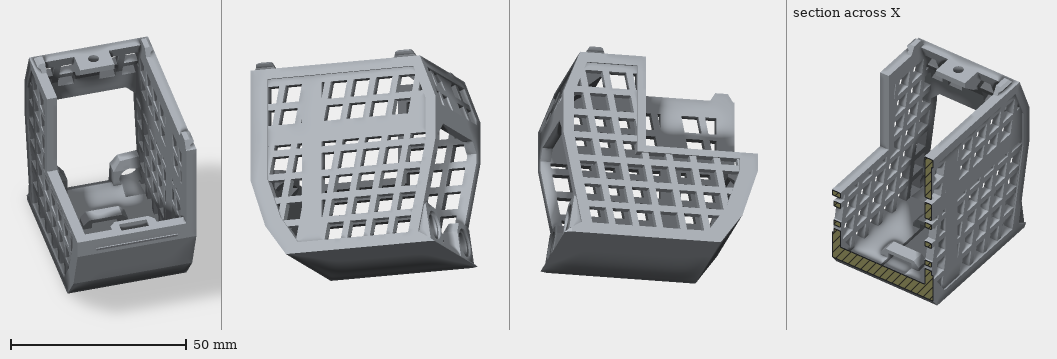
import cadquery as cq
import math

WIDTH = 35.2
HALF_WIDTH = WIDTH / 2
WALL = 3.0
BODY_HEIGHT = 54.8
REAR_X = 56.65
INNER_Y = HALF_WIDTH - WALL
FLOOR_TOP = 3.2
FRONT_LOW_Z = 30.15
FRONT_HIGH_Z = 42.5
FRONT_TOP_X = 4.82
FOOT_X = 5.3
SLOPE = math.atan2(FRONT_TOP_X, BODY_HEIGHT - FRONT_HIGH_Z)
LIP_X = 0.5
LIP_TOP_X = 1.55
LIP_TOP_Z = 0.9
REAR_BEND_Z = 22.4
REAR_LOW_X = 52.2
REAR_LOW_Z = 8.8
FLOOR_END_X = 45.85
INNER_BEND_X = 49.5
INNER_BEND_Z = 10.1
INNER_REAR_X = REAR_X - WALL
INNER_REAR_BEND_Z = 22.8
INNER_FRONT_HIGH_Z = FRONT_HIGH_Z - 0.4
MARGIN = 10.0

REAR_RIM_Z = 27.75
NOTCH_X = 24.0
POST_X = 21.5
RAIL_Z = 25.8

GRILLE_RECESS = 0.5
CELL = 5.0
PITCH_X = 6.94
PITCH_Z = 6.9
GRILLE_LEAN = 0.192
GRILLE_X = 8.4
GRILLE_REAR_X = 51.45
GRILLE_TOP_Z = 51.85
GRILLE_TOP_X = 6.8
GRILLE_FLOOR_END_X = 42.15
GRILLE_BEND = (47.5, 11.0)
COLUMNS = 9
ROWS = 7
FAR_CLOSED_CELLS = ((5, 0),)
COLUMN_X = (35.1, 41.05)
BAND_Z = (32.26, 38.2)

FRONT_OPENING_Y = INNER_Y
FRONT_OPENING_Z = 35.65
FRONT_OPENING_CHAMFER = 3.0
WINDOW_BOTTOM_Z = 41.1
WINDOW_TOP_Z = 52.05
MULLION_HALF = 3.7
MULLION_FLARE = 1.9
PANE_DEPTH = WALL + 0.5
WINDOW_BAR_Y = (8.6, 10.5)
WINDOW_BAR_Z = (45.5, 47.3)

TAB_END_X = 14.2
TAB_HALF = 5.07
TAB_THICKNESS = 1.8
TAB_HOLE_X = 10.2
TAB_HOLE_DIAMETER = 3.1
TAB_ROOT_X = 6.0
TAB_ROOT_Z = 46.3

HOOK_TOP_Z = BODY_HEIGHT + 2.41
HOOK_STEM = 1.45
HOOK_REACH = 2.4
REAR_HOOK_REACH = 2.7
HOOK_TIP_Z = BODY_HEIGHT + 1.75
HOOK_NECK_Z = BODY_HEIGHT + 0.95
HOOK_CROWN = 1.5
HOOK_BASE_DEPTH = 0.5
FRONT_FAR_HOOK = ((6.4, 13.7), (8.15, 12.25))
REAR_FAR_HOOK = ((49.55, 56.2), (51.0, 54.7))
FRONT_NEAR_HOOK = ((6.4, 12.7), (8.0, 11.2))

LAMP_Y = 11.75
LAMP_FACE_X = 1.7
LAMP_FACE_Z = 0.9
LAMP_TOP_X = 3.4
LAMP_TOP_Z = 12.4
LAMP_TILT = math.degrees(math.atan2(LAMP_TOP_X - LAMP_FACE_X, LAMP_TOP_Z - LAMP_FACE_Z))
LAMP_BACK_TOP_X = 6.05
LAMP_BACK_X = 7.1
LAMP_INNER_Y = 6.8
LAMP_OUTER_Y = 17.0
LAMP_CROWN = ((15.7, 11.95), (8.9, 11.35))
LAMP_OUTER_Z = 11.0
LAMP_INNER_Z = 8.4
LAMP_CENTRE_Z = 6.05
LAMP_CENTRE_X = LAMP_FACE_X + (LAMP_CENTRE_Z - LAMP_FACE_Z) * math.tan(math.radians(LAMP_TILT))
LAMP_BORE = 6.4
LAMP_BORE_DEPTH = 10.6
LAMP_RECESS = 8.4
LAMP_RECESS_DEPTH = 0.7

STRAP_HALF = 4.1
STRAP_DEPTH = 1.25
CHANNEL_X = (15.35, 44.6)
CHANNEL_RAMP = 1.8
BRIDGE_X = (19.35, 35.4)
BRIDGE_LENGTH = 4.05
BRIDGE_HALF = 6.6
BRIDGE_TOP_Z = 6.2
BRIDGE_CHAMFER = 1.75
BRIDGE_GAP_Z = 4.95
PAD_X = 50.55
PAD_HALF = 6.6
PAD_CHAMFER = 1.6
PAD_FACE_Z = 24.75
PAD_BOTTOM_Z = 21.7
PAD_ROOT = 1.0
SLOT_X = (51.95, 54.8)
SLOT_RAMP_X = 52.9
SLOT_RAMP_Z = (20.5, 22.8)

RIDGE_HALF = 12.05
RIDGE_Z = (23.6, 24.5)
RIDGE_HEIGHT = 0.3
CORNER_X = 2.4
CORNER_Y = 0.8
CORNER_Z = 1.1


def box(x0, x1, y0, y1, z0, z1):
    return cq.Workplane("XY").box(x1 - x0, y1 - y0, z1 - z0, centered=False).translate((x0, y0, z0))


def side_prism(points, y0, y1):
    """Prism with an XZ outline running from y0 to y1."""
    return cq.Workplane("XZ", origin=(0, y0, 0)).polyline(points).close().extrude(y0 - y1)


def cross_prism(points, x0, x1):
    """Prism with a YZ outline running from x0 to x1."""
    return cq.Workplane("YZ", origin=(x0, 0, 0)).polyline(points).close().extrude(x1 - x0)


def mirrored(shape):
    return shape.mirror("XZ")


def slope_x(z):
    return (z - FRONT_HIGH_Z) * math.tan(SLOPE)


def on_slope(z):
    """Distance up the sloping front face at height z."""
    return (z - FRONT_HIGH_Z) / math.cos(SLOPE)


def lay_on_slope(shape):
    """Tilt a shape so its X axis points square into the sloping front face and its Z axis runs up it."""
    return shape.rotate((0, 0, 0), (0, 1, 0), math.degrees(SLOPE)).translate((0, 0, FRONT_HIGH_Z))


def rear_low_inner_x(z):
    """Inside of the lowest rear slope, one wall thickness in from the outside."""
    run = REAR_LOW_X - FLOOR_END_X
    return FLOOR_END_X + z * run / REAR_LOW_Z - WALL * math.hypot(run, REAR_LOW_Z) / REAR_LOW_Z


def make_shell():
    outer = [
        (LIP_X, 0), (FLOOR_END_X, 0), (REAR_LOW_X, REAR_LOW_Z), (REAR_X, REAR_BEND_Z),
        (REAR_X, BODY_HEIGHT), (FRONT_TOP_X, BODY_HEIGHT), (0, FRONT_HIGH_Z), (0, FRONT_LOW_Z),
        (FOOT_X, FLOOR_TOP), (LIP_TOP_X, LIP_TOP_Z),
    ]
    shell = side_prism(outer, -HALF_WIDTH, HALF_WIDTH)
    top = BODY_HEIGHT + MARGIN
    slope_shift = WALL / math.cos(SLOPE)
    inner = [
        (GRILLE_X, FLOOR_TOP), (rear_low_inner_x(FLOOR_TOP), FLOOR_TOP), (INNER_BEND_X, INNER_BEND_Z),
        (INNER_REAR_X, INNER_REAR_BEND_Z), (INNER_REAR_X, top), (slope_x(top) + slope_shift, top),
        (WALL, INNER_FRONT_HIGH_Z), (WALL, FRONT_LOW_Z),
    ]
    shell = shell.cut(side_prism(inner, -INNER_Y, INNER_Y))
    notch = box(NOTCH_X, REAR_X + MARGIN, -HALF_WIDTH - MARGIN, INNER_Y, REAR_RIM_Z, top)
    return shell.cut(notch)


def front_opening():
    z0 = FLOOR_TOP
    z1 = FRONT_OPENING_Z
    y = FRONT_OPENING_Y
    c = FRONT_OPENING_CHAMFER
    outline = [(-y, z0), (y, z0), (y, z1 - c), (y - c, z1), (c - y, z1), (-y, z1 - c)]
    return cross_prism(outline, -MARGIN, GRILLE_X)


def front_window():
    """Panes square to the sloping front face and the shallow recess that frames them."""
    low = (WINDOW_BOTTOM_Z - FRONT_HIGH_Z) * math.cos(SLOPE)
    bar_low = on_slope(WINDOW_BAR_Z[0])
    bar_high = on_slope(WINDOW_BAR_Z[1])
    high = on_slope(WINDOW_TOP_Z)
    y = FRONT_OPENING_Y
    tools = box(-MARGIN, GRILLE_RECESS, -y, y, low, high)
    for y0, y1 in ((MULLION_HALF, WINDOW_BAR_Y[0]), (WINDOW_BAR_Y[1], y)):
        for z0, z1 in ((low, bar_low), (bar_high, high)):
            pane = box(-MARGIN, PANE_DEPTH, y0, y1, z0, z1)
            if y0 == MULLION_HALF and z1 == high:
                flare = [(y0, z1), (y0 + MULLION_FLARE, z1), (y0, z1 - MULLION_FLARE)]
                pane = pane.cut(cross_prism(flare, -MARGIN, PANE_DEPTH))
            tools = tools.union(pane).union(mirrored(pane))
    return lay_on_slope(tools)


GRILLE_LOWER = [
    (GRILLE_X, FLOOR_TOP), (GRILLE_FLOOR_END_X, FLOOR_TOP), GRILLE_BEND, (GRILLE_REAR_X, REAR_BEND_Z),
]
GRILLE_FRONT = [(GRILLE_TOP_X, GRILLE_TOP_Z), (WALL, INNER_FRONT_HIGH_Z), (WALL, FRONT_LOW_Z)]
NEAR_OUTLINE = GRILLE_LOWER + [
    (GRILLE_REAR_X, RAIL_Z), (POST_X, RAIL_Z), (POST_X, GRILLE_TOP_Z),
] + GRILLE_FRONT
FAR_OUTLINE = GRILLE_LOWER + [(GRILLE_REAR_X, GRILLE_TOP_Z)] + GRILLE_FRONT


def grille_cells(y0, y1, closed=()):
    """Leaning grid of openings, before trimming to the frame; closed lists (row, column) left out."""
    lean = GRILLE_LEAN * CELL
    cell = side_prism([(0, 0), (CELL, 0), (CELL - lean, CELL), (-lean, CELL)], y0, y1).val()
    cells = []
    for row in range(ROWS):
        z = row * PITCH_Z
        for column in range(COLUMNS):
            if (row, column) not in closed:
                x = GRILLE_X + column * PITCH_X - GRILLE_LEAN * z
                cells.append(cell.translate(cq.Vector(x, 0, FLOOR_TOP + z)))
    return cq.Workplane(cq.Compound.makeCompound(cells))


def near_grille():
    y0 = -HALF_WIDTH - MARGIN
    recess = side_prism(NEAR_OUTLINE, y0, -HALF_WIDTH + GRILLE_RECESS)
    frame = side_prism(NEAR_OUTLINE, y0, -INNER_Y)
    return recess, frame.intersect(grille_cells(y0, -INNER_Y))


def far_grille():
    y1 = HALF_WIDTH + MARGIN
    top = BODY_HEIGHT
    recess = side_prism(FAR_OUTLINE, HALF_WIDTH - GRILLE_RECESS, y1)
    frame = side_prism(FAR_OUTLINE, INNER_Y, y1)
    frame = frame.cut(box(COLUMN_X[0], COLUMN_X[1], 0, y1, 0, top))
    frame = frame.cut(box(0, REAR_X, 0, y1, BAND_Z[0], BAND_Z[1]))
    return recess, frame.intersect(grille_cells(INNER_Y, y1, FAR_CLOSED_CELLS))


def top_tab():
    z_end = BODY_HEIGHT - TAB_THICKNESS
    outline = [
        (TAB_ROOT_X, BODY_HEIGHT), (TAB_END_X, BODY_HEIGHT), (TAB_END_X, z_end), (TAB_ROOT_X, TAB_ROOT_Z),
    ]
    tab = side_prism(outline, -TAB_HALF, TAB_HALF)
    high = on_slope(WINDOW_TOP_Z)
    low = high - MULLION_FLARE
    shoulder = low + TAB_HALF - MULLION_HALF
    section = [
        (MULLION_HALF, -MARGIN), (MULLION_HALF, low), (TAB_HALF, shoulder), (TAB_HALF, high + MARGIN),
    ]
    section += [(-y, z) for y, z in reversed(section)]
    tab = tab.intersect(lay_on_slope(cross_prism(section, -MARGIN, TAB_END_X + MARGIN)))
    outer_skin = box(-MARGIN, PANE_DEPTH / 2, -TAB_HALF, TAB_HALF, -MARGIN, high + MARGIN)
    return tab.cut(lay_on_slope(outer_skin))


def tab_hole():
    hole = cq.Workplane("XY", origin=(TAB_HOLE_X, 0, TAB_ROOT_Z))
    return hole.circle(TAB_HOLE_DIAMETER / 2).extrude(BODY_HEIGHT - TAB_ROOT_Z + MARGIN)


def hook(base, crown, reach=HOOK_REACH):
    """Outward snap hook on the +Y wall; base and crown are its x extents at bottom and top."""
    root = BODY_HEIGHT - HOOK_BASE_DEPTH
    stem = INNER_Y + HOOK_STEM
    tip = INNER_Y + reach
    section = [
        (INNER_Y, root), (stem, root), (stem, HOOK_NECK_Z), (tip, HOOK_TIP_Z),
        (INNER_Y + HOOK_CROWN, HOOK_TOP_Z), (INNER_Y, HOOK_TOP_Z),
    ]
    trim = [
        (base[0], root), (base[1], root), (base[1], BODY_HEIGHT), (crown[1], HOOK_TOP_Z),
        (crown[0], HOOK_TOP_Z), (base[0], BODY_HEIGHT),
    ]
    return cross_prism(section, base[0], base[1]).intersect(side_prism(trim, 0, HALF_WIDTH))


def lamp_housing():
    """Block on the +Y side whose leaning face carries a lamp socket."""
    outline = [
        (LAMP_FACE_X, LAMP_FACE_Z), (LAMP_TOP_X, LAMP_TOP_Z), (LAMP_BACK_TOP_X, LAMP_TOP_Z),
        (LAMP_BACK_X, LAMP_INNER_Z), (LAMP_BACK_X, FLOOR_TOP), (FOOT_X, LAMP_FACE_Z),
    ]
    section = [
        (LAMP_INNER_Y, 0), (LAMP_OUTER_Y, 0), (LAMP_OUTER_Y, LAMP_OUTER_Z),
        *LAMP_CROWN, (LAMP_INNER_Y, LAMP_INNER_Z),
    ]
    return side_prism(outline, 0, HALF_WIDTH).intersect(cross_prism(section, 0, GRILLE_X))


def lamp_socket():
    """Stepped round socket square to the lamp face; it sinks into the floor behind."""
    bore = cq.Workplane("YZ").circle(LAMP_BORE / 2).extrude(LAMP_BORE_DEPTH)
    recess = cq.Workplane("YZ").circle(LAMP_RECESS / 2).extrude(LAMP_RECESS_DEPTH, both=True)
    socket = bore.union(recess).rotate((0, 0, 0), (0, 1, 0), LAMP_TILT)
    return socket.translate((LAMP_CENTRE_X, LAMP_Y, LAMP_CENTRE_Z))


def strap_channel():
    x0, x1 = CHANNEL_X
    bottom = FLOOR_TOP - STRAP_DEPTH
    outline = [
        (x0, FLOOR_TOP), (x0 + CHANNEL_RAMP, bottom), (x1 - CHANNEL_RAMP, bottom), (x1, FLOOR_TOP),
    ]
    return side_prism(outline, -STRAP_HALF, STRAP_HALF)


def strap_bridge(x):
    y = BRIDGE_HALF
    c = BRIDGE_CHAMFER
    z = BRIDGE_TOP_Z
    section = [
        (-y, FLOOR_TOP), (-y, z - c), (c - y, z), (y - c, z), (y, z - c), (y, FLOOR_TOP),
        (STRAP_HALF, FLOOR_TOP), (STRAP_HALF, BRIDGE_GAP_Z), (-STRAP_HALF, BRIDGE_GAP_Z),
        (-STRAP_HALF, FLOOR_TOP),
    ]
    return cross_prism(section, x, x + BRIDGE_LENGTH)


def rear_pad():
    outline = [
        (PAD_X, REAR_RIM_Z), (PAD_X, PAD_FACE_Z), (INNER_REAR_X, PAD_BOTTOM_Z),
        (INNER_REAR_X + PAD_ROOT, INNER_REAR_BEND_Z), (INNER_REAR_X + PAD_ROOT, REAR_RIM_Z),
    ]
    pad = side_prism(outline, -PAD_HALF, PAD_HALF)
    return pad.edges("|Z and <X").chamfer(PAD_CHAMFER)


def rear_slot():
    """Strap slot down through the pad, ending in a ramp in the wall below."""
    x0, x1 = SLOT_X
    outline = [
        (x0, REAR_RIM_Z), (x1, REAR_RIM_Z), (x1, SLOT_RAMP_Z[1]), (SLOT_RAMP_X, SLOT_RAMP_Z[0]),
        (PAD_X, SLOT_RAMP_Z[0]), (PAD_X, PAD_FACE_Z), (x0, PAD_FACE_Z),
    ]
    return side_prism(outline, -STRAP_HALF, STRAP_HALF)


def rear_ridge():
    outline = [(REAR_X, RIDGE_Z[0]), (REAR_X + RIDGE_HEIGHT, RIDGE_Z[1]), (REAR_X, RIDGE_Z[1])]
    return side_prism(outline, -RIDGE_HALF, RIDGE_HALF)


def lip_corner():
    """Upright corner cut at the +Y end of the front lip."""
    low = [(CORNER_X, HALF_WIDTH), (LIP_X, HALF_WIDTH - CORNER_Y), (LIP_X, HALF_WIDTH)]
    return cq.Workplane("XY").polyline(low).close().extrude(CORNER_Z)


body = make_shell()
body = body.cut(front_opening()).cut(front_window())
for recess, openings in (near_grille(), far_grille()):
    body = body.cut(recess).cut(openings)

body = body.union(top_tab()).cut(tab_hole())
body = body.union(hook(*FRONT_FAR_HOOK))
body = body.union(hook(*REAR_FAR_HOOK, reach=REAR_HOOK_REACH))
body = body.union(mirrored(hook(*FRONT_NEAR_HOOK)))

housing = lamp_housing()
socket = lamp_socket()
body = body.union(housing).union(mirrored(housing))
body = body.cut(socket).cut(mirrored(socket))

body = body.cut(strap_channel())
for bridge_x in BRIDGE_X:
    body = body.union(strap_bridge(bridge_x))

body = body.union(rear_pad()).cut(rear_slot())
body = body.union(rear_ridge())
corner = lip_corner()
body = body.cut(corner).cut(mirrored(corner))

result = body